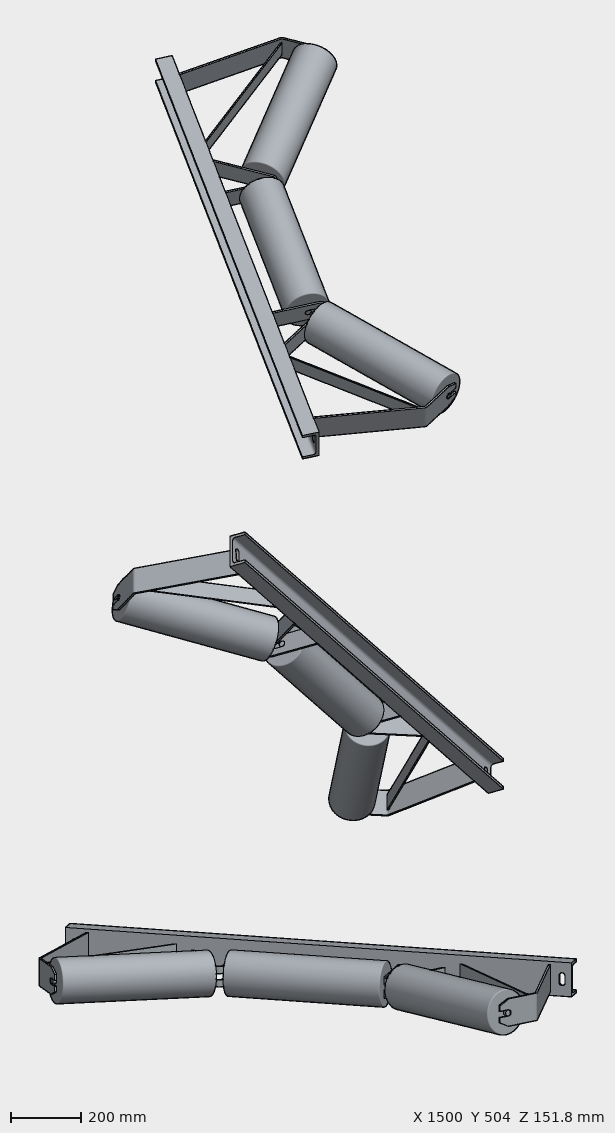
import cadquery as cq
import math


BEAM_LENGTH = 1500.0
BEAM_HEIGHT = 100.0
BEAM_DEPTH = 50.0
BEAM_WALL = 9.0
BEAM_ROOT_RADIUS = 9.0
SLOT_WIDTH = 18.0
SLOT_HEIGHT = 38.0
SLOT_END_DISTANCE = 28.0

ROLLER_DIAMETER = 134.0
ROLLER_LENGTH = 465.0
ROLLER_EDGE_RADIUS = 3.0
SHAFT_DIAMETER = 18.0
SHAFT_OVERHANG = 10.0
TROUGH_ANGLE = 35.0
MIDDLE_ROLLER_Y = 115.0
MIDDLE_ROLLER_Z = -20.0
SIDE_ROLLER_X = 477.0
SIDE_ROLLER_Y = 267.0
SIDE_ROLLER_DROP = 18.0

STRIP_THICKNESS = 6.0
OUTER_STRIP_WIDTH = 81.0
INNER_STRIP_WIDTH = 60.0
OUTER_FOOT_X = 684.0
OUTER_BEND_X = 735.0
OUTER_BEND_Y = 321.0
OUTER_TIP_LENGTH = 135.0
OUTER_BEND_RADIUS = 8.0
TIP_CHAMFER_LENGTH = 32.0
TIP_CHAMFER_WIDTH = 15.0
INNER_LEG_X = 240.0
INNER_FOOT_X = 372.0
INNER_BEND_RADIUS = 9.0
STRUT_FOOT_X = 423.0
STRUT_TOP_X = 734.0
STRUT_THICKNESS = 5.0
STRUT_WIDTH = 50.0

LEAN = math.radians(TROUGH_ANGLE)
FACE_X = math.sin(LEAN)
FACE_Y = math.cos(LEAN)


def offset_line_point(start, end, distance):
    """Unit direction of a line and its start point moved to the line's left by distance."""
    length = math.dist(start, end)
    ux = (end[0] - start[0]) / length
    uy = (end[1] - start[1]) / length
    return (ux, uy), (start[0] - uy * distance, start[1] + ux * distance)


def strip_side(start, bend, end, distance):
    """Start, corner and end of a two-leg centre line moved sideways by distance."""
    (ux, uy), first = offset_line_point(start, bend, distance)
    (vx, vy), corner_on_second = offset_line_point(bend, end, distance)
    dx = corner_on_second[0] - first[0]
    dy = corner_on_second[1] - first[1]
    along = (dx * vy - dy * vx) / (ux * vy - uy * vx)
    corner = (first[0] + ux * along, first[1] + uy * along)
    last = (end[0] - vy * distance, end[1] + vx * distance)
    return [first, corner, last]


def bent_strip(start, bend, end, width, inner_radius):
    """Strip bent clockwise once, with everything below the beam's back face removed."""
    outside = strip_side(start, bend, end, STRIP_THICKNESS / 2)
    inside = strip_side(start, bend, end, -STRIP_THICKNESS / 2)
    strip = (
        cq.Workplane("XY")
        .polyline(outside + inside[::-1])
        .close()
        .extrude(width / 2, both=True)
    )
    for corner, radius in ((outside[1], inner_radius + STRIP_THICKNESS), (inside[1], inner_radius)):
        strip = strip.edges(cq.selectors.NearestToPointSelector((*corner, 0))).fillet(radius)
    below_back_face = (
        cq.Workplane("XY")
        .center(0, -BEAM_LENGTH / 2)
        .box(BEAM_LENGTH, BEAM_LENGTH, 2 * BEAM_HEIGHT)
    )
    return strip.cut(below_back_face)


def channel_beam():
    """Channel open towards -Y, with a vertical mounting slot near each end."""
    half_height = BEAM_HEIGHT / 2
    beam = (
        cq.Workplane("YZ")
        .moveTo(-BEAM_DEPTH, -half_height)
        .lineTo(0, -half_height)
        .lineTo(0, half_height)
        .lineTo(-BEAM_DEPTH, half_height)
        .lineTo(-BEAM_DEPTH, half_height - BEAM_WALL)
        .lineTo(-BEAM_WALL, half_height - BEAM_WALL)
        .lineTo(-BEAM_WALL, -half_height + BEAM_WALL)
        .lineTo(-BEAM_DEPTH, -half_height + BEAM_WALL)
        .close()
        .extrude(BEAM_LENGTH / 2, both=True)
    )
    for side in (-1, 1):
        root = (0, -BEAM_WALL, side * (half_height - BEAM_WALL))
        beam = beam.edges(cq.selectors.NearestToPointSelector(root)).fillet(BEAM_ROOT_RADIUS)
    slot_x = BEAM_LENGTH / 2 - SLOT_END_DISTANCE
    slots = (
        cq.Workplane("XZ")
        .pushPoints([(-slot_x, 0), (slot_x, 0)])
        .slot2D(SLOT_HEIGHT, SLOT_WIDTH, 90)
        .extrude(BEAM_DEPTH)
    )
    return beam.cut(slots)


def round_bar(frame, diameter, length):
    """Cylinder centred on the frame with its axis along the frame's normal."""
    return cq.Workplane(frame).workplane(offset=-length / 2).circle(diameter / 2).extrude(length)


def roller(frame):
    """Roller with shaft ends, centred on the frame with its axis along the frame's normal."""
    shell = round_bar(frame, ROLLER_DIAMETER, ROLLER_LENGTH)
    shell = shell.edges("%CIRCLE").fillet(ROLLER_EDGE_RADIUS)
    return shell.union(round_bar(frame, SHAFT_DIAMETER, ROLLER_LENGTH + 2 * SHAFT_OVERHANG))


def shaft_slot(frame):
    """Round-bottomed slot that fits the shaft and opens along the frame's x direction."""
    length = ROLLER_LENGTH + 4 * SHAFT_OVERHANG
    bottom = round_bar(frame, SHAFT_DIAMETER, length)
    opening = (
        cq.Workplane(frame)
        .center(ROLLER_DIAMETER / 2, 0)
        .box(ROLLER_DIAMETER, SHAFT_DIAMETER, length)
    )
    return bottom.union(opening)


def outer_bracket(side_frame):
    """Strip on the left that leans out from the beam and turns in along the roller's end."""
    foot = (-OUTER_FOOT_X, 0)
    bend = (-OUTER_BEND_X, OUTER_BEND_Y)
    below_foot = (2 * foot[0] - bend[0], -OUTER_BEND_Y)
    tip = (bend[0] + OUTER_TIP_LENGTH * FACE_X, bend[1] + OUTER_TIP_LENGTH * FACE_Y)
    bracket = bent_strip(below_foot, bend, tip, OUTER_STRIP_WIDTH, OUTER_BEND_RADIUS)

    tip_plane = cq.Plane(origin=(*tip, 0), xDir=(FACE_X, FACE_Y, 0), normal=(FACE_Y, -FACE_X, 0))
    half_width = OUTER_STRIP_WIDTH / 2
    for side in (-1, 1):
        corner = (
            cq.Workplane(tip_plane)
            .moveTo(0, side * half_width)
            .lineTo(-TIP_CHAMFER_LENGTH, side * half_width)
            .lineTo(0, side * (half_width - TIP_CHAMFER_WIDTH))
            .close()
            .extrude(STRIP_THICKNESS, both=True)
        )
        bracket = bracket.cut(corner)
    return bracket.cut(shaft_slot(side_frame))


def inner_bracket(side_frame, middle_frame):
    """Strip on the left folded over between the side roller and the middle roller."""
    crest_y = (INNER_FOOT_X - INNER_LEG_X) * FACE_Y / FACE_X
    crest = (-INNER_LEG_X, crest_y)
    below_side_foot = (crest[0] - 2 * crest_y * FACE_X / FACE_Y, -crest_y)
    below_middle_foot = (-INNER_LEG_X, -crest_y)
    bracket = bent_strip(below_side_foot, crest, below_middle_foot, INNER_STRIP_WIDTH, INNER_BEND_RADIUS)
    bracket = bracket.translate((0, 0, MIDDLE_ROLLER_Z))
    return bracket.cut(shaft_slot(side_frame)).cut(shaft_slot(middle_frame))


def strut(bracket):
    """Flat brace from the beam to the inside of the outer bracket's bend."""
    foot = (-STRUT_FOOT_X, 0)
    top = (-STRUT_TOP_X, OUTER_BEND_Y)
    slope = (top[0] - foot[0], top[1] - foot[1], 0)
    plane = cq.Plane(origin=(*foot, 0), xDir=slope, normal=(0, 0, 1))

    brace = cq.Workplane(plane).box(2 * math.dist(foot, top), STRUT_THICKNESS, STRUT_WIDTH)
    above_beam = cq.Workplane("XY").box(
        BEAM_LENGTH, OUTER_BEND_Y, BEAM_HEIGHT, centered=(True, False, True)
    )
    return brace.intersect(above_beam).cut(bracket)


middle_frame = cq.Plane(origin=(0, MIDDLE_ROLLER_Y, MIDDLE_ROLLER_Z), xDir=(0, 1, 0), normal=(1, 0, 0))
axis_drop = SIDE_ROLLER_DROP / ROLLER_LENGTH
side_frame = cq.Plane(
    origin=(-SIDE_ROLLER_X, SIDE_ROLLER_Y, MIDDLE_ROLLER_Z + SIDE_ROLLER_DROP / 2),
    xDir=(FACE_X, FACE_Y, 0),
    normal=(FACE_Y, -FACE_X, -axis_drop),
)

beam = channel_beam()
middle_roller = roller(middle_frame)
left_bracket = outer_bracket(side_frame)
left_bodies = [
    roller(side_frame),
    left_bracket,
    inner_bracket(side_frame, middle_frame),
    strut(left_bracket),
]

bodies = [*beam.solids().vals(), *middle_roller.solids().vals()]
for body in left_bodies:
    bodies.extend(body.solids().vals())
    bodies.extend(body.mirror("YZ").solids().vals())

result = cq.Compound.makeCompound(bodies)